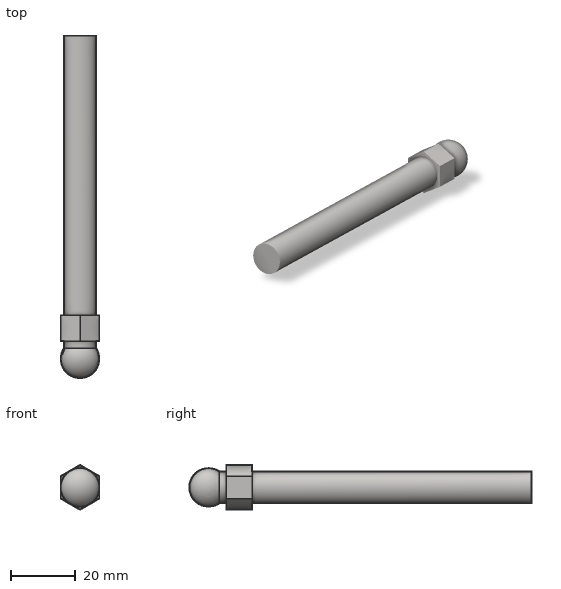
import cadquery as cq
import math

total_length = 106.0
ball_diameter = 12.0
rod_diameter = 10.0
hex_across_flats = 12.0
hex_length = 8.1
rod_length = 86.5

ball_radius = ball_diameter / 2
rod_end = total_length - ball_radius
hex_end = rod_end - rod_length
hex_across_corners = hex_across_flats / math.cos(math.pi / 6)


def along_y(start):
    """Workplane at Y = start whose extrusions run toward -Y."""
    return cq.Workplane("XZ", origin=(0, start, 0))


rod = along_y(rod_end).circle(rod_diameter / 2).extrude(rod_end)

hexagon = (
    along_y(hex_end)
    .transformed(rotate=(0, 0, 90))
    .polygon(6, hex_across_corners)
    .extrude(hex_length)
)

ball = cq.Workplane("XY").sphere(ball_radius)

result = rod.union(hexagon).union(ball)